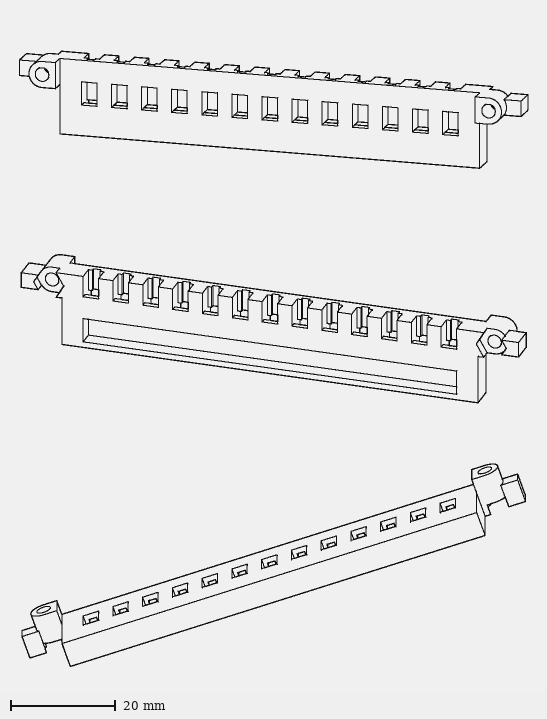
import cadquery as cq
import math

LENGTH = 99.75
DEPTH = 8.0
HEIGHT = 15.0

BAR_LENGTH = 83.5
BAR_DEPTH = 5.0

EAR_HEIGHT = 5.2
EAR_RADIUS = EAR_HEIGHT / 2
EAR_HOLE_DIAMETER = 2.7
EAR_HOLE_INSET = 5.5
EAR_HOLE_X = LENGTH / 2 - EAR_HOLE_INSET

NUT_FLATS = EAR_HEIGHT
NUT_CORNERS = NUT_FLATS / math.cos(math.pi / 6)
NUT_DEPTH = 2.1

PEG_HEIGHT = 3.1
PEG_DEPTH = 4.7
PEG_TOP = (EAR_HEIGHT - PEG_HEIGHT) / 2

CELL_COUNT = 13
CELL_PITCH = 6.0
CELL_WIDTH = 3.1
CELL_SPAN = (CELL_COUNT - 1) * CELL_PITCH
WINDOW_TOP = 4.3
WINDOW_HEIGHT = 4.6
WINDOW_BOTTOM = WINDOW_TOP + WINDOW_HEIGHT
CHANNEL_FRONT = 3.2
BACK_WALL = 1.2
GROOVE_WIDTH = 1.5
GROOVE_DEPTH = 0.7

RECESS_LENGTH = CELL_SPAN + CELL_WIDTH
RECESS_TOP = WINDOW_BOTTOM
RECESS_BOTTOM = HEIGHT - BACK_WALL


def block(x_center, width, back, front, top, bottom):
    """Box from its X centre and width, its depths from the back face and its drops from the top."""
    center = (x_center, -(back + front) / 2, -(top + bottom) / 2)
    return cq.Workplane("XY").box(width, front - back, bottom - top).translate(center)


def ear_axis(side):
    """Workplane on the back face, centred on the hole of an ear."""
    return cq.Workplane("XZ").center(side * EAR_HOLE_X, -EAR_RADIUS)


def ear(side):
    """Round-ended ear with its peg, and the cuts that belong to it; side is -1 or +1."""
    root_length = EAR_HOLE_X - BAR_LENGTH / 2
    root_x = side * (EAR_HOLE_X - root_length / 2)
    peg_x = side * (LENGTH / 2 - EAR_HOLE_INSET / 2)

    root = block(root_x, root_length, 0, DEPTH, 0, EAR_HEIGHT)
    peg = block(peg_x, EAR_HOLE_INSET, 0, PEG_DEPTH, PEG_TOP, PEG_TOP + PEG_HEIGHT)
    solid = ear_axis(side).circle(EAR_RADIUS).extrude(DEPTH).union(root).union(peg)

    nut_pocket = ear_axis(side).polygon(6, NUT_CORNERS).extrude(NUT_DEPTH)
    hole = ear_axis(side).circle(EAR_HOLE_DIAMETER / 2).extrude(DEPTH)
    return solid, nut_pocket.union(hole)


def cell(x):
    """Cut-out of one cell: front window, upright channel, lowered back wall and groove."""
    window = block(x, CELL_WIDTH, BACK_WALL, BAR_DEPTH, WINDOW_TOP, WINDOW_BOTTOM)
    channel = block(x, CELL_WIDTH, BACK_WALL, CHANNEL_FRONT, 0, WINDOW_BOTTOM)
    back_notch = block(x, CELL_WIDTH, 0, BACK_WALL, 0, WINDOW_TOP)
    groove = block(x, GROOVE_WIDTH, CHANNEL_FRONT, CHANNEL_FRONT + GROOVE_DEPTH, 0, WINDOW_TOP)
    return window.union(channel).union(back_notch).union(groove)


result = block(0, BAR_LENGTH, 0, BAR_DEPTH, 0, HEIGHT)

for side in (-1, 1):
    ear_solid, ear_cuts = ear(side)
    result = result.union(ear_solid).cut(ear_cuts)

for index in range(CELL_COUNT):
    result = result.cut(cell(index * CELL_PITCH - CELL_SPAN / 2))

recess = block(0, RECESS_LENGTH, 0, CHANNEL_FRONT, RECESS_TOP, RECESS_BOTTOM)
result = result.cut(recess)